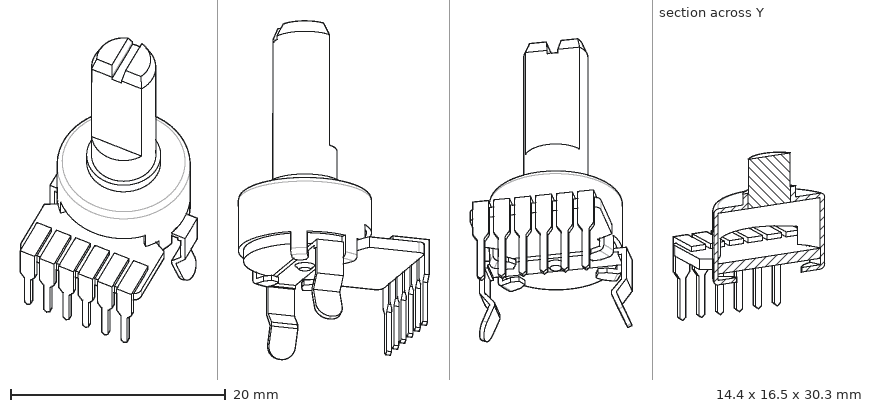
import cadquery as cq
import math

OVERALL_HEIGHT = 30.3
OVERALL_WIDTH = 14.4

HOUSING_RADIUS = 6.2
WALL = 0.48
HOUSING_INNER_RADIUS = HOUSING_RADIUS - WALL
BOARD_THICKNESS = 1.03
HOUSING_TOP_Z = 6.4
COLLAR_RADIUS = 3.45
COLLAR_TOP_Z = 7.45

WINDOW_TOP_Z = 2.75
WINDOW_HALF_ANGLE = math.radians(45)

TAB_WIDTH = 1.5
TAB_ANGLE = 25.0
TAB_BOTTOM_Z = -1.05
TAB_STRAIGHT_RADIUS = 4.7
TAB_END_RADIUS = 3.95
TAB_END_WIDTH = 0.9

SHAFT_RADIUS = 3.0
SHAFT_TOP_Z = 22.7
SHAFT_FLAT_Y = -1.5
SHAFT_FLAT_BOTTOM_Z = 10.75
TAPER_HEIGHT = 1.18
TAPER_INSET = 0.48
SLOT_DEPTH = 1.5
SLOT_WIDTH = 1.0
SLOT_MOUTH_WIDTH = 1.42

TERMINAL_COUNT = 6
TERMINAL_PITCH = 2.0
TERMINAL_THICKNESS = 0.48
TERMINAL_WIDTH = 1.5
TERMINAL_FRONT_Y = -10.25
TERMINAL_BACK_Y = -6.65
PIN_WIDTH = 0.65
SHOULDER_TOP_Z = -1.9
SHOULDER_BOTTOM_Z = -2.55
PIN_TIP_Z = -6.65
PIN_POINT_HEIGHT = 0.27

BOARD_RADIUS = HOUSING_INNER_RADIUS
BOARD_HALF_WIDTH = HOUSING_RADIUS
BOARD_FRONT_Y = TERMINAL_FRONT_Y + TERMINAL_THICKNESS
BOARD_CORNER_RADIUS = 0.7
BOARD_SHOULDER_Y = -4.15
BOARD_NECK_Y = -3.33

STRAP_THICKNESS = 0.4
LEG_WIDTH = 2.6
LEG_OUTER_X = 7.0
LEG_THICKNESS = 0.48
LEG_TIP_ROUNDING = 1.27
LEG_KNEE_Z = -3.3
HEEL_STEP = 0.3
ELBOW_INNER_X = 5.58
ELBOW_OUTER_X = 6.03
FOOT_X = OVERALL_WIDTH / 2
FOOT_BOTTOM_Z = SHAFT_TOP_Z - OVERALL_HEIGHT
FOOT_ANGLE = 22.5
FOOT_THICKNESS = 0.45
BOSS_RADIUS = 0.9
BOSS_TAPER = 45.0
BOSS_HEIGHT = 0.35


def tab_plan(angle):
    """Prism over one tab, along a radius at the given angle, with a narrowed inner end."""
    half_width = TAB_WIDTH / 2
    half_end = TAB_END_WIDTH / 2
    return (
        cq.Workplane("XY", origin=(0, 0, TAB_BOTTOM_Z))
        .polyline([
            (TAB_END_RADIUS, half_end),
            (TAB_STRAIGHT_RADIUS, half_width),
            (2 * HOUSING_RADIUS, half_width),
            (2 * HOUSING_RADIUS, -half_width),
            (TAB_STRAIGHT_RADIUS, -half_width),
            (TAB_END_RADIUS, -half_end),
        ])
        .close()
        .extrude(BOARD_THICKNESS - TAB_BOTTOM_Z)
        .rotate((0, 0, 0), (0, 0, 1), angle)
    )


def make_housing():
    """Turned shell with an inward lip, cut away below the board's top except at the tabs."""
    lip_top = TAB_BOTTOM_Z + WALL
    ceiling_z = HOUSING_TOP_Z - WALL
    lip_inner_radius = TAB_END_RADIUS - WALL
    shell = (
        cq.Workplane("XZ")
        .moveTo(lip_inner_radius, TAB_BOTTOM_Z)
        .lineTo(HOUSING_INNER_RADIUS, TAB_BOTTOM_Z)
        .radiusArc((HOUSING_RADIUS, lip_top), -WALL)
        .lineTo(HOUSING_RADIUS, ceiling_z)
        .radiusArc((HOUSING_INNER_RADIUS, HOUSING_TOP_Z), -WALL)
        .lineTo(COLLAR_RADIUS, HOUSING_TOP_Z)
        .lineTo(COLLAR_RADIUS, COLLAR_TOP_Z)
        .lineTo(SHAFT_RADIUS, COLLAR_TOP_Z)
        .lineTo(SHAFT_RADIUS, ceiling_z)
        .lineTo(HOUSING_INNER_RADIUS, ceiling_z)
        .lineTo(HOUSING_INNER_RADIUS, lip_top)
        .lineTo(lip_inner_radius, lip_top)
        .close()
        .revolve(360, (0, 0, 0), (0, 1, 0))
    )
    between_tabs = (
        cq.Workplane("XY", origin=(0, 0, TAB_BOTTOM_Z))
        .circle(2 * HOUSING_RADIUS)
        .extrude(BOARD_THICKNESS - TAB_BOTTOM_Z)
    )
    for angle in (TAB_ANGLE, 180 - TAB_ANGLE, 180 + TAB_ANGLE, -TAB_ANGLE):
        between_tabs = between_tabs.cut(tab_plan(angle))

    wedge_y = -2 * HOUSING_RADIUS
    wedge_x = -wedge_y * math.tan(WINDOW_HALF_ANGLE)
    window = (
        cq.Workplane("XY", origin=(0, 0, BOARD_THICKNESS))
        .polyline([(0, 0), (-wedge_x, wedge_y), (wedge_x, wedge_y)])
        .close()
        .extrude(WINDOW_TOP_Z - BOARD_THICKNESS)
    )
    return shell.cut(between_tabs).cut(window)


def make_shaft():
    bottom_z = HOUSING_TOP_Z - WALL
    taper_z = SHAFT_TOP_Z - TAPER_HEIGHT
    stem = (
        cq.Workplane("XY", origin=(0, 0, bottom_z))
        .circle(SHAFT_RADIUS)
        .extrude(SHAFT_FLAT_BOTTOM_Z - bottom_z)
    )

    flat_half_width = math.sqrt(SHAFT_RADIUS**2 - SHAFT_FLAT_Y**2)
    d_outline = (
        cq.Workplane("XY", origin=(0, 0, SHAFT_FLAT_BOTTOM_Z))
        .moveTo(flat_half_width, SHAFT_FLAT_Y)
        .threePointArc((0, SHAFT_RADIUS), (-flat_half_width, SHAFT_FLAT_Y))
        .close()
    )
    tapered_end = (
        d_outline.extrude(taper_z - SHAFT_FLAT_BOTTOM_Z)
        .faces(">Z")
        .wires()
        .toPending()
        .workplane()
        .extrude(TAPER_HEIGHT, taper=math.degrees(math.atan2(TAPER_INSET, TAPER_HEIGHT)))
    )
    shaft = stem.union(tapered_end)

    half_width = SLOT_WIDTH / 2
    half_mouth = SLOT_MOUTH_WIDTH / 2
    slot_bottom_z = SHAFT_TOP_Z - SLOT_DEPTH
    slot = (
        cq.Workplane("XZ")
        .polyline([
            (-half_width, slot_bottom_z),
            (half_width, slot_bottom_z),
            (half_width, taper_z),
            (half_mouth, SHAFT_TOP_Z),
            (-half_mouth, SHAFT_TOP_Z),
            (-half_width, taper_z),
        ])
        .close()
        .extrude(SHAFT_RADIUS, both=True)
    )
    return shaft.cut(slot)


def make_board():
    neck_x = math.sqrt(BOARD_RADIUS**2 - BOARD_NECK_Y**2)
    return (
        cq.Workplane("XY")
        .moveTo(neck_x, BOARD_NECK_Y)
        .threePointArc((0, BOARD_RADIUS), (-neck_x, BOARD_NECK_Y))
        .lineTo(-BOARD_HALF_WIDTH, BOARD_SHOULDER_Y)
        .lineTo(-BOARD_HALF_WIDTH, BOARD_FRONT_Y)
        .lineTo(BOARD_HALF_WIDTH, BOARD_FRONT_Y)
        .lineTo(BOARD_HALF_WIDTH, BOARD_SHOULDER_Y)
        .close()
        .extrude(BOARD_THICKNESS)
        .faces("<Y")
        .edges("|Z")
        .fillet(BOARD_CORNER_RADIUS)
    )


def make_bracket():
    slope = math.radians(FOOT_ANGLE)
    foot_inner_x = FOOT_X - FOOT_THICKNESS * math.cos(slope)
    foot_outer_z = FOOT_BOTTOM_Z + FOOT_THICKNESS * math.sin(slope)
    elbow_outer_z = foot_outer_z + (FOOT_X - ELBOW_OUTER_X) / math.tan(slope)
    elbow_width = ELBOW_OUTER_X - ELBOW_INNER_X
    leg_inner_x = LEG_OUTER_X - LEG_THICKNESS
    half = (
        cq.Workplane("XZ")
        .polyline([
            (0, 0),
            (LEG_OUTER_X, 0),
            (LEG_OUTER_X, LEG_KNEE_Z),
            (ELBOW_OUTER_X, elbow_outer_z),
            (FOOT_X, foot_outer_z),
            (foot_inner_x, FOOT_BOTTOM_Z),
            (ELBOW_INNER_X, elbow_outer_z - elbow_width * math.tan(slope)),
            (ELBOW_INNER_X, elbow_outer_z + elbow_width * math.tan(slope)),
            (leg_inner_x, LEG_KNEE_Z),
            (leg_inner_x, -STRAP_THICKNESS - HEEL_STEP),
            (leg_inner_x - HEEL_STEP, -STRAP_THICKNESS - HEEL_STEP),
            (leg_inner_x - HEEL_STEP, -STRAP_THICKNESS),
            (0, -STRAP_THICKNESS),
        ])
        .close()
        .extrude(LEG_WIDTH / 2, both=True)
        .faces("<Z")
        .edges("not |Y")
        .fillet(LEG_TIP_ROUNDING)
    )
    boss = (
        cq.Workplane("XY", origin=(0, 0, -STRAP_THICKNESS))
        .circle(BOSS_RADIUS)
        .extrude(-BOSS_HEIGHT, taper=BOSS_TAPER)
    )
    return half.union(half.mirror("YZ")).union(boss)


def make_terminal(x):
    """Flat strip on the board, bent down at the front edge into a narrow pointed pin."""
    top_z = BOARD_THICKNESS + TERMINAL_THICKNESS
    half_width = TERMINAL_WIDTH / 2
    half_pin = PIN_WIDTH / 2
    blade = (
        cq.Workplane("XZ", origin=(x, TERMINAL_FRONT_Y, 0))
        .polyline([
            (-half_width, top_z),
            (half_width, top_z),
            (half_width, SHOULDER_TOP_Z),
            (half_pin, SHOULDER_BOTTOM_Z),
            (half_pin, PIN_TIP_Z + PIN_POINT_HEIGHT),
            (0, PIN_TIP_Z),
            (-half_pin, PIN_TIP_Z + PIN_POINT_HEIGHT),
            (-half_pin, SHOULDER_BOTTOM_Z),
            (-half_width, SHOULDER_TOP_Z),
        ])
        .close()
        .extrude(-TERMINAL_THICKNESS)
    )
    pad = cq.Workplane("XY").box(
        TERMINAL_WIDTH,
        TERMINAL_BACK_Y - TERMINAL_FRONT_Y,
        TERMINAL_THICKNESS,
        centered=(True, False, False),
    )
    return blade.union(pad.translate((x, TERMINAL_FRONT_Y, BOARD_THICKNESS)))


housing = make_housing()
shaft = make_shaft()
board = make_board()
bracket = make_bracket()
first_x = -TERMINAL_PITCH * (TERMINAL_COUNT - 1) / 2
terminals = [make_terminal(first_x + i * TERMINAL_PITCH) for i in range(TERMINAL_COUNT)]

result = cq.Compound.makeCompound([
    housing.solids().val(),
    shaft.solids().val(),
    board.solids().val(),
    bracket.solids().val(),
    *[terminal.solids().val() for terminal in terminals],
])